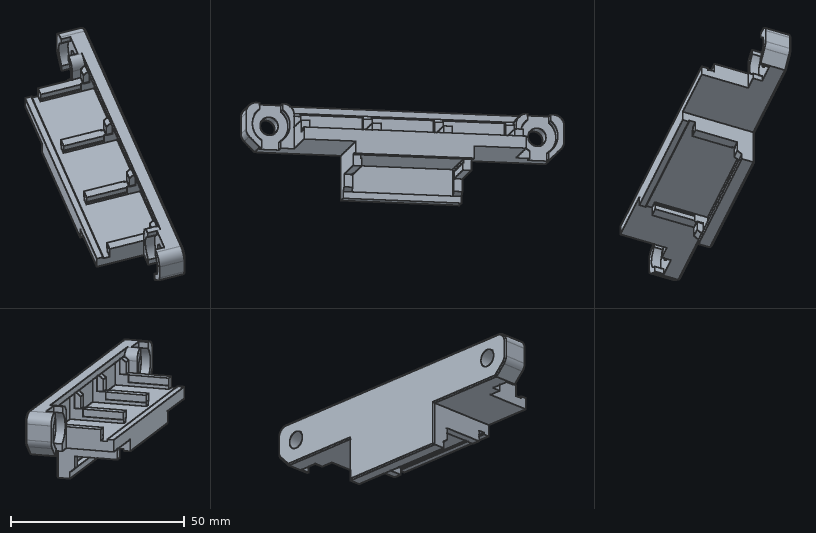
import cadquery as cq


length = 93.8
depth = 22.2
height = 26.4
half_height = height / 2
upper_width = 65.5
lower_width = 34.9

plate_depth = 3.9
back_chamfer = 0.4
corner_radius = 3.1
bottom_corner = 4.0

lip_height = 0.6
lip_width = 2.0
lip_top = 3.6
floor_top = lip_top - lip_height
panel_top = half_height - lip_width
panel_depth = 2.0

rib_width = 2.5
rib_reach = 18.3
rib_top = 6.4
rib_leg_depth = 5.3
rib_bevel_height = 1.1
neck_inset = 0.3
neck_top = 4.1
neck_depth = 3.4
neck_corner_depth = 6.0
upper_rib_count = 4
lower_rib_count = 2

ear_depth = 7.9
ear_floor_depth = 5.1
hole_diameter = 5.25
hole_x = 39.5
hole_z = 6.9
pocket_diameter = 11.1
top_slot_width = 6.8
bottom_slot_width = 5.6


def box(x_center, width, y_back, y_front, z_low, z_high):
    """Box whose y limits are given as depths in front of the back face."""
    size = (width, y_front - y_back, z_high - z_low)
    center = (x_center, -(y_back + y_front) / 2, (z_low + z_high) / 2)
    return cq.Workplane("XY").box(*size).translate(center)


def make_back_plate():
    """T-shaped plate with its ear corners rounded and its back edges chamfered."""
    half_length = length / 2
    half_lower = lower_width / 2
    outline = [
        (-half_length, half_height),
        (half_length, half_height),
        (half_length, bottom_corner),
        (half_length - bottom_corner, 0),
        (half_lower, 0),
        (half_lower, -half_height),
        (-half_lower, -half_height),
        (-half_lower, 0),
        (-half_length + bottom_corner, 0),
        (-half_length, bottom_corner),
    ]
    plate = cq.Workplane("XZ").polyline(outline).close().extrude(plate_depth)
    plate = plate.edges("|Y and (<X or >X)").fillet(corner_radius)
    return plate.faces(">Y").chamfer(back_chamfer)


def make_rib(x_center):
    """L-shaped rib of the upper half, along the shelf and up the back plate."""
    outline = [
        (-panel_depth, 0),
        (-rib_reach, 0),
        (-rib_reach, rib_top),
        (-rib_leg_depth, rib_top),
        (-rib_leg_depth, panel_top - rib_bevel_height),
        (-plate_depth, panel_top),
        (-panel_depth, panel_top),
    ]
    rib = cq.Workplane("YZ").polyline(outline).close().extrude(rib_width / 2, both=True)
    return rib.translate((x_center, 0, 0))


def make_neck_cut(x_center):
    """Shallow slice that thins one side of a rib where it meets the shelf, back plate and corner."""
    along_shelf = box(x_center, neck_inset, panel_depth, rib_reach, floor_top, neck_top)
    along_plate = box(x_center, neck_inset, panel_depth, neck_depth, floor_top, panel_top)
    at_corner = box(x_center, neck_inset, panel_depth, neck_corner_depth, floor_top, rib_top)
    return along_shelf.union(along_plate).union(at_corner)


def add_half(body, width, rib_count, is_lower):
    """Add one half of the shelf with its panel recess and evenly spaced ribs.

    The outer sides of the end ribs stay flush with the shelf ends, so only inner sides are thinned.
    """
    recess = box(0, width, panel_depth, plate_depth, 0, panel_top)
    added = box(0, width, panel_depth, depth, 0, floor_top)
    added = added.union(box(0, width, depth - lip_width, depth, 0, lip_top))
    neck_offset = (rib_width - neck_inset) / 2
    first_rib = (rib_width - width) / 2
    rib_spacing = (width - rib_width) / (rib_count - 1)
    for index in range(rib_count):
        x_center = first_rib + index * rib_spacing
        rib = make_rib(x_center)
        if index > 0:
            rib = rib.cut(make_neck_cut(x_center - neck_offset))
        if index < rib_count - 1:
            rib = rib.cut(make_neck_cut(x_center + neck_offset))
        added = added.union(rib)
    if is_lower:
        recess = recess.mirror("XY")
        added = added.mirror("XY")
    return body.cut(recess).union(added)


def make_ear_block(side):
    """Block in front of one end of the plate, with the same outer corners as the plate."""
    outer = side * length / 2
    inner = side * upper_width / 2
    outline = [
        (inner, 0),
        (inner, half_height),
        (outer, half_height),
        (outer, bottom_corner),
        (outer - side * bottom_corner, 0),
    ]
    block = cq.Workplane("XZ").polyline(outline).close().extrude(ear_depth)
    outer_edges = ">X" if side > 0 else "<X"
    block = block.edges(f"|Y and (>Z or {outer_edges})").fillet(corner_radius)
    behind = box(0, length, 0, plate_depth, 0, half_height)
    return block.cut(behind)


def make_ear_cut(side):
    """Screw hole and round pocket, with slots from the pocket to the top and bottom edges."""
    x = side * hole_x
    axis = cq.Workplane("XZ").center(x, hole_z)
    hole = axis.circle(hole_diameter / 2).extrude(ear_depth)
    pocket = axis.workplane(offset=ear_floor_depth).circle(pocket_diameter / 2)
    pocket = pocket.extrude(ear_depth - ear_floor_depth)
    top_slot = box(x, top_slot_width, ear_floor_depth, ear_depth, hole_z, half_height)
    bottom_slot = box(x, bottom_slot_width, ear_floor_depth, ear_depth, 0, hole_z)
    return hole.union(pocket).union(top_slot).union(bottom_slot)


result = make_back_plate()
result = add_half(result, upper_width, upper_rib_count, False)
result = add_half(result, lower_width, lower_rib_count, True)
for side in (-1, 1):
    result = result.union(make_ear_block(side)).cut(make_ear_cut(side))